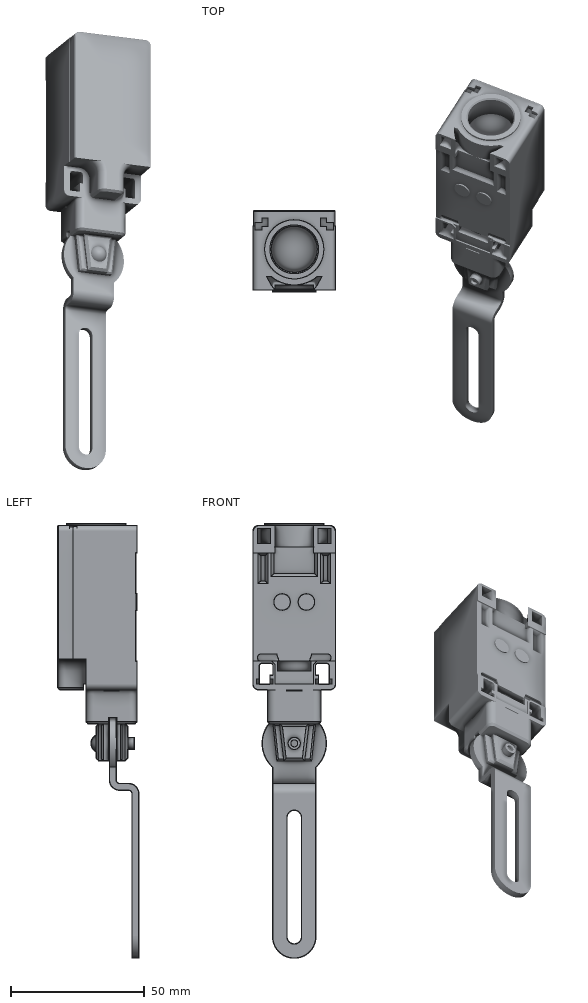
import cadquery as cq

TOTAL_HEIGHT = 163.3
CASE_WIDTH = 31.0
HALF_WIDTH = CASE_WIDTH / 2
REAR_Y = 14.5
PAD_Y = -15.4
PAD_RAISE = 0.5
FACE_Y = PAD_Y + PAD_RAISE
COLLAR_RAISE = 0.8
CASE_TOP = TOTAL_HEIGHT - COLLAR_RAISE
CASE_BOTTOM = 100.8
EDGE_RADIUS = 2.1

STEP_Y = 4.0
STEP_Z = 112.4
FOOT_WIDTH = 10.5
FOOT_FLARE_RADIUS = 4.2
FOOT_GAP = 0.8
FOOT_CORNER_RADIUS = 2.8
FOOT_BOTTOM_CHAMFER = 0.8

COVER_FRONT_Y = 8.8
COVER_INSET = 0.2
COVER_EDGE_CHAMFER = 0.3

COLLAR_RADIUS = 11.1
BORE_RADIUS = 8.7
BORE_CHAMFER = 0.5
BORE_DEPTH = 9.0
BOSS_RADIUS = 13.4

PAD_INNER_X = 7.2
UPPER_PAD_BOTTOM = 152.2
LOWER_PAD_TOP = 111.5
ENTRY_LEDGE_Z = 154.3
ENTRY_BOTTOM_Z = 143.4
ENTRY_HALF_WIDTH = 8.7
ENTRY_WALL_SLOPE = 1.0
ENTRY_CORNER_X = 10.5
ENTRY_CORNER_Y = -10.1
LATCH_HALF_WIDTH = 6.2
LATCH_LEDGE_Z = 107.8
LATCH_FLOOR_RADIUS = 8.2
LATCH_FLOOR_Y = -12.4
LATCH_REAR_Y = -9.0
PAD_CORNER_CUT = 1.3
GROOVE_X = 11.8
GROOVE_WIDTH = 3.8
GROOVE_BOTTOM_Z = 140.6
GROOVE_DEPTH = 1.6
GROOVE_TAPER = 33.0
POCKET_TOP_Z = 114.1
POCKET_OUTER_X = 13.7
POCKET_INNER_X = 6.5
POCKET_END_X = 5.7
POCKET_DEPTH = 1.0
BUTTON_X = 4.5
BUTTON_Z = 133.7
BUTTON_RADIUS = 3.1

UPPER_WINDOW_OUTER_X = 13.7
UPPER_WINDOW_INNER_X = 9.0
UPPER_WINDOW_END_X = 12.5
UPPER_WINDOW_TOP = 161.3
UPPER_WINDOW_BOTTOM = 155.8
UPPER_WINDOW_DEPTH = 7.2
LOWER_WINDOW_OUTER_X = 13.0
LOWER_WINDOW_INNER_X = 8.0
LOWER_WINDOW_STEP_X = 9.1
LOWER_WINDOW_TOP = 110.7
LOWER_WINDOW_STEP_Z = 106.3
LOWER_WINDOW_BOTTOM = 102.9
LOWER_WINDOW_CORNER = 1.0
SHELF_OUTER_X = 14.2
SHELF_TOP = 104.8
SHELF_DEPTH = 3.3

NOTCH_DEPTH = 1.8
NOTCH_FRONT_Y = 7.2
NOTCH_INNER_FRONT_Y = 8.5
NOTCH_STEP_Y = 10.1
NOTCH_REAR_Y = 11.8
NOTCH_STEP_X = 12.1
NOTCH_INNER_X = 9.8
NOTCH_OUTER_X = 14.7

NECK_WIDTH = 20.1
NECK_DEPTH = STEP_Y - PAD_Y
NECK_Y = (STEP_Y + PAD_Y) / 2
NECK_BOTTOM = 88.0
NECK_CORNER_RADIUS = 2.8
NECK_CHAMFER = 0.8
MARK_LENGTH = 5.7
MARK_HEIGHT = 0.5
MARK_DEPTH = 0.3

LEVER_THICKNESS = 2.6
LEVER_Y = -6.2
PIVOT_Z = 80.7
DISC_RADIUS = 12.1
ARM_WIDTH = 16.3
ARM_FRONT_Y = -16.0
BEND_RADIUS = 1.3
BEND_OUTER = BEND_RADIUS + LEVER_THICKNESS
BEND_START_Z = 67.0
LEVER_SLOT_WIDTH = 5.4
LEVER_SLOT_TOP = 55.5
LEVER_SLOT_BOTTOM = 5.4
PIN_RADIUS = 2.3

CLEVIS_DEPTH = 12.0
CLEVIS_Y = -5.9
CLEVIS_BOTTOM = 74.1
CLEVIS_TOP_HALF = 8.0
CLEVIS_BOTTOM_HALF = 6.5
CHEEK_CHAMFER = 0.7
PANEL_CHAMFER = 1.0
CHEEK_RECESS = 2.1
PANEL_TOP_HALF = 5.5
PANEL_BOTTOM_HALF = 4.0
CLEVIS_SLOT_WIDTH = 3.1
DISC_CLEARANCE = 0.5
CLEVIS_SLOT_TOP = DISC_RADIUS + PIVOT_Z + DISC_CLEARANCE
NECK_SLOT_TOP = 90.3
PIN_END_LENGTH = 2.5
SOCKET_RADIUS = 1.3
SOCKET_DEPTH = 1.0
RIVET_RADIUS = 3.1
RIVET_HEIGHT = 2.0


def block(x0, x1, y0, y1, z0, z1):
    """Box between two opposite corners."""
    return (
        cq.Workplane("XY")
        .box(x1 - x0, y1 - y0, z1 - z0, centered=False)
        .translate((x0, y0, z0))
    )


def rod(radius, x, z, y_front, y_rear):
    """Cylinder along Y."""
    return cq.Workplane("XZ", origin=(x, y_rear, z)).circle(radius).extrude(y_rear - y_front)


def front_prism(points, y_front, y_rear):
    """Prism along Y from an outline of (x, z) points."""
    return cq.Workplane("XZ", origin=(0, y_rear, 0)).polyline(points).close().extrude(y_rear - y_front)


def both_sides(solid):
    """The solid together with its mirror image in the plane X = 0."""
    return solid.union(solid.mirror("YZ"))


def case_shell():
    case = block(-HALF_WIDTH, HALF_WIDTH, PAD_Y, COVER_FRONT_Y, CASE_BOTTOM, CASE_TOP)
    case = case.edges("|Y").fillet(EDGE_RADIUS)
    cover_side = HALF_WIDTH - COVER_INSET
    cover = block(-cover_side, cover_side, COVER_FRONT_Y, REAR_Y, CASE_BOTTOM, CASE_TOP)
    cover = cover.edges("|Y").fillet(EDGE_RADIUS)
    cover = cover.faces(">Y").edges().chamfer(COVER_EDGE_CHAMFER)
    case = case.union(cover)
    collar = cq.Workplane("XY", origin=(0, 0, CASE_TOP)).circle(COLLAR_RADIUS).extrude(COLLAR_RAISE)
    return case.union(collar)


def pad_clearance():
    """Thin layer removed from the front so that only the corner pads stand out."""
    bottom = CASE_BOTTOM + EDGE_RADIUS
    corner_x = PAD_INNER_X + PAD_CORNER_CUT
    right_half = front_prism(
        [
            (0, bottom),
            (PAD_INNER_X, bottom),
            (PAD_INNER_X, LOWER_PAD_TOP - PAD_CORNER_CUT),
            (corner_x, LOWER_PAD_TOP),
            (HALF_WIDTH, LOWER_PAD_TOP),
            (HALF_WIDTH, UPPER_PAD_BOTTOM),
            (PAD_INNER_X, UPPER_PAD_BOTTOM),
            (PAD_INNER_X, CASE_TOP),
            (0, CASE_TOP),
        ],
        PAD_Y,
        FACE_Y,
    )
    return both_sides(right_half)


def rear_step():
    """Space below the case and around its narrow foot."""
    side = FOOT_WIDTH / 2
    flare_side = side + FOOT_FLARE_RADIUS
    flare_z = STEP_Z - FOOT_FLARE_RADIUS
    foot = (
        cq.Workplane("XZ", origin=(0, REAR_Y, 0))
        .moveTo(-side, CASE_BOTTOM)
        .lineTo(side, CASE_BOTTOM)
        .lineTo(side, flare_z)
        .radiusArc((flare_side, STEP_Z), FOOT_FLARE_RADIUS)
        .lineTo(-flare_side, STEP_Z)
        .radiusArc((-side, flare_z), FOOT_FLARE_RADIUS)
        .close()
        .extrude(REAR_Y - STEP_Y)
    )
    margin = FOOT_GAP / 2
    rear_corners = cq.selectors.BoxSelector(
        (-flare_side, REAR_Y - margin, CASE_BOTTOM + margin),
        (flare_side, REAR_Y + margin, STEP_Z - margin),
    )
    foot = foot.edges(rear_corners).fillet(FOOT_CORNER_RADIUS)
    foot = foot.faces("<Z").edges().chamfer(FOOT_BOTTOM_CHAMFER)
    foot = foot.cut(block(-side, side, STEP_Y, STEP_Y + FOOT_GAP, CASE_BOTTOM, CASE_BOTTOM + EDGE_RADIUS))
    return block(-HALF_WIDTH, HALF_WIDTH, STEP_Y, REAR_Y, CASE_BOTTOM, STEP_Z).cut(foot)


def bore():
    hole = (
        cq.Workplane("XY", origin=(0, 0, TOTAL_HEIGHT - BORE_DEPTH))
        .circle(BORE_RADIUS)
        .extrude(BORE_DEPTH)
    )
    mouth = (
        cq.Workplane("XY", origin=(0, 0, TOTAL_HEIGHT))
        .circle(BORE_RADIUS + BORE_CHAMFER)
        .workplane(offset=-BORE_CHAMFER)
        .circle(BORE_RADIUS)
        .loft()
    )
    return hole.union(mouth)


def entry_recess():
    """Relief in front of the bore: a space round the boss above a flat tray with sloping walls."""
    height = CASE_TOP - ENTRY_LEDGE_Z
    upper = (
        cq.Workplane("XY", origin=(0, 0, ENTRY_LEDGE_Z))
        .polyline([
            (-PAD_INNER_X, PAD_Y),
            (PAD_INNER_X, PAD_Y),
            (ENTRY_HALF_WIDTH, -BOSS_RADIUS),
            (ENTRY_CORNER_X, ENTRY_CORNER_Y),
            (-ENTRY_CORNER_X, ENTRY_CORNER_Y),
            (-ENTRY_HALF_WIDTH, -BOSS_RADIUS),
        ])
        .close()
        .extrude(height)
    )
    boss = cq.Workplane("XY", origin=(0, 0, ENTRY_LEDGE_Z)).circle(BOSS_RADIUS).extrude(height)
    upper = upper.cut(boss)
    inner = ENTRY_HALF_WIDTH - ENTRY_WALL_SLOPE
    tray = (
        cq.Workplane("XZ", origin=(0, FACE_Y, 0))
        .polyline([
            (-ENTRY_HALF_WIDTH, ENTRY_BOTTOM_Z),
            (ENTRY_HALF_WIDTH, ENTRY_BOTTOM_Z),
            (ENTRY_HALF_WIDTH, UPPER_PAD_BOTTOM),
            (-ENTRY_HALF_WIDTH, UPPER_PAD_BOTTOM),
        ])
        .close()
        .workplane(offset=FACE_Y + BOSS_RADIUS)
        .polyline([
            (-inner, ENTRY_BOTTOM_Z + ENTRY_WALL_SLOPE),
            (inner, ENTRY_BOTTOM_Z + ENTRY_WALL_SLOPE),
            (inner, UPPER_PAD_BOTTOM),
            (-inner, UPPER_PAD_BOTTOM),
        ])
        .close()
        .loft()
    )
    bridge = block(-PAD_INNER_X, PAD_INNER_X, PAD_Y, -BOSS_RADIUS, UPPER_PAD_BOTTOM, ENTRY_LEDGE_Z)
    return upper.union(tray).union(bridge)


def latch_recess():
    """Recess above the lower ledge with a convex floor."""
    space = block(
        -LATCH_HALF_WIDTH, LATCH_HALF_WIDTH, PAD_Y, LATCH_REAR_Y, LATCH_LEDGE_Z, LOWER_PAD_TOP
    )
    floor = (
        cq.Workplane("XY", origin=(0, LATCH_FLOOR_Y + LATCH_FLOOR_RADIUS, LATCH_LEDGE_Z))
        .circle(LATCH_FLOOR_RADIUS)
        .extrude(LOWER_PAD_TOP - LATCH_LEDGE_Z)
    )
    return space.cut(floor)


def front_grooves():
    """Tapered vertical grooves under the upper pads and shallow pockets over the lower pads."""
    height = UPPER_PAD_BOTTOM - GROOVE_BOTTOM_Z
    middle_z = (UPPER_PAD_BOTTOM + GROOVE_BOTTOM_Z) / 2
    groove = (
        cq.Workplane("XZ", origin=(GROOVE_X, FACE_Y, middle_z))
        .rect(GROOVE_WIDTH, height)
        .extrude(-GROOVE_DEPTH, taper=GROOVE_TAPER)
    )
    pocket = front_prism(
        [
            (POCKET_OUTER_X, LOWER_PAD_TOP),
            (POCKET_OUTER_X, POCKET_TOP_Z),
            (POCKET_INNER_X, POCKET_TOP_Z),
            (POCKET_END_X, LOWER_PAD_TOP),
        ],
        FACE_Y,
        FACE_Y + POCKET_DEPTH,
    )
    pocket = pocket.edges("|Y and >X").fillet(LOWER_WINDOW_CORNER)
    return both_sides(groove.union(pocket))


def upper_windows():
    y_end = PAD_Y + UPPER_WINDOW_DEPTH
    window = (
        cq.Workplane("XY", origin=(0, 0, UPPER_WINDOW_BOTTOM))
        .polyline([
            (UPPER_WINDOW_OUTER_X, PAD_Y),
            (UPPER_WINDOW_INNER_X, PAD_Y),
            (UPPER_WINDOW_END_X, y_end),
            (UPPER_WINDOW_OUTER_X, y_end),
        ])
        .close()
        .extrude(UPPER_WINDOW_TOP - UPPER_WINDOW_BOTTOM)
    )
    return both_sides(window)


def lower_windows():
    window = front_prism(
        [
            (LOWER_WINDOW_OUTER_X, LOWER_WINDOW_BOTTOM),
            (LOWER_WINDOW_OUTER_X, LOWER_WINDOW_TOP),
            (LOWER_WINDOW_INNER_X, LOWER_WINDOW_TOP),
            (LOWER_WINDOW_INNER_X, LOWER_WINDOW_STEP_Z),
            (LOWER_WINDOW_STEP_X, LOWER_WINDOW_STEP_Z),
            (LOWER_WINDOW_STEP_X, LOWER_WINDOW_BOTTOM),
        ],
        PAD_Y,
        REAR_Y,
    )
    window = window.edges("|Y and >Z").fillet(LOWER_WINDOW_CORNER)
    shelf = block(
        LOWER_WINDOW_INNER_X, SHELF_OUTER_X, PAD_Y, PAD_Y + SHELF_DEPTH, LOWER_WINDOW_BOTTOM, SHELF_TOP
    )
    return both_sides(window.union(shelf))


def snap_notches():
    z0 = CASE_TOP - NOTCH_DEPTH
    outer = block(NOTCH_STEP_X, NOTCH_OUTER_X, NOTCH_FRONT_Y, NOTCH_STEP_Y, z0, CASE_TOP)
    inner = block(NOTCH_INNER_X, NOTCH_STEP_X, NOTCH_INNER_FRONT_Y, NOTCH_REAR_Y, z0, CASE_TOP)
    return both_sides(outer.union(inner))


def buttons():
    button = rod(BUTTON_RADIUS, BUTTON_X, BUTTON_Z, PAD_Y, FACE_Y)
    return both_sides(button)


def neck():
    body = (
        cq.Workplane("XY", origin=(0, NECK_Y, NECK_BOTTOM))
        .rect(NECK_WIDTH, NECK_DEPTH)
        .extrude(CASE_BOTTOM - NECK_BOTTOM)
        .edges("|Z")
        .fillet(NECK_CORNER_RADIUS)
        .faces("<Z")
        .edges()
        .chamfer(NECK_CHAMFER)
    )
    z = CASE_BOTTOM - MARK_HEIGHT
    half = MARK_LENGTH / 2
    body = body.cut(block(-half, half, PAD_Y, PAD_Y + MARK_DEPTH, z, CASE_BOTTOM))
    side = NECK_WIDTH / 2
    side_mark = block(side - MARK_DEPTH, side, NECK_Y - half, NECK_Y + half, z, CASE_BOTTOM)
    return body.cut(both_sides(side_mark))


def trapezoid(top_half, bottom_half, depth, chamfer):
    """Downward-narrowing block with chamfered front and rear faces."""
    points = [
        (-top_half, NECK_BOTTOM),
        (top_half, NECK_BOTTOM),
        (bottom_half, CLEVIS_BOTTOM),
        (-bottom_half, CLEVIS_BOTTOM),
    ]
    plate = front_prism(points, CLEVIS_Y - depth / 2, CLEVIS_Y + depth / 2)
    return plate.faces("<Y or >Y").edges().chamfer(chamfer)


def clevis():
    cheek_depth = CLEVIS_DEPTH - 2 * CHEEK_RECESS
    cheeks = trapezoid(CLEVIS_TOP_HALF, CLEVIS_BOTTOM_HALF, cheek_depth, CHEEK_CHAMFER)
    panel = trapezoid(PANEL_TOP_HALF, PANEL_BOTTOM_HALF, CLEVIS_DEPTH, PANEL_CHAMFER)
    return cheeks.union(panel)


def lever_slot():
    """Slot for the lever: open at the bottom, with a round top inside the neck."""
    y_front = LEVER_Y - CLEVIS_SLOT_WIDTH / 2
    y_rear = LEVER_Y + CLEVIS_SLOT_WIDTH / 2
    side = NECK_WIDTH / 2
    straight = block(-side, side, y_front, y_rear, CLEVIS_BOTTOM, NECK_SLOT_TOP)
    return straight.union(rod(CLEVIS_SLOT_TOP - PIVOT_Z, 0, PIVOT_Z, y_front, y_rear))


def pin():
    front = CLEVIS_Y - CLEVIS_DEPTH / 2 - PIN_END_LENGTH
    rear = CLEVIS_Y + CLEVIS_DEPTH / 2
    shank = rod(PIN_RADIUS, 0, PIVOT_Z, front, rear)
    socket = rod(SOCKET_RADIUS, 0, PIVOT_Z, front, front + SOCKET_DEPTH)
    dome_radius = (RIVET_RADIUS ** 2 + RIVET_HEIGHT ** 2) / (2 * RIVET_HEIGHT)
    dome = (
        cq.Workplane("XY")
        .sphere(dome_radius)
        .translate((0, rear + RIVET_HEIGHT - dome_radius, PIVOT_Z))
        .intersect(rod(RIVET_RADIUS, 0, PIVOT_Z, rear, rear + RIVET_HEIGHT))
    )
    return shank.cut(socket).union(dome)


def make_housing():
    body = case_shell().cut(rear_step())
    for cutter in (
        pad_clearance(), bore(), entry_recess(), latch_recess(), front_grooves(),
        upper_windows(), lower_windows(), snap_notches(),
    ):
        body = body.cut(cutter)
    body = body.union(buttons())
    head = neck().union(clevis()).cut(lever_slot())
    return body.union(head).union(pin())


def lever_strip():
    """Joggled strip, as wide as the pivot disc."""
    upper_rear = LEVER_Y + LEVER_THICKNESS / 2
    upper_front = LEVER_Y - LEVER_THICKNESS / 2
    lower_rear = ARM_FRONT_Y + LEVER_THICKNESS
    web_bottom = BEND_START_Z - BEND_OUTER
    web_top = BEND_START_Z - BEND_RADIUS
    arm_start = web_bottom - BEND_RADIUS
    top = PIVOT_Z + DISC_RADIUS
    return (
        cq.Workplane("YZ", origin=(-DISC_RADIUS, 0, 0))
        .moveTo(upper_rear, top)
        .lineTo(upper_rear, BEND_START_Z)
        .radiusArc((upper_rear - BEND_OUTER, web_bottom), BEND_OUTER)
        .lineTo(lower_rear + BEND_RADIUS, web_bottom)
        .radiusArc((lower_rear, arm_start), -BEND_RADIUS)
        .lineTo(lower_rear, 0)
        .lineTo(ARM_FRONT_Y, 0)
        .lineTo(ARM_FRONT_Y, arm_start)
        .radiusArc((ARM_FRONT_Y + BEND_OUTER, web_top), BEND_OUTER)
        .lineTo(upper_front - BEND_RADIUS, web_top)
        .radiusArc((upper_front, BEND_START_Z), -BEND_RADIUS)
        .lineTo(upper_front, top)
        .close()
        .extrude(2 * DISC_RADIUS)
    )


def make_lever():
    y_rear = LEVER_Y + LEVER_THICKNESS / 2
    tip_radius = ARM_WIDTH / 2
    arm = block(-tip_radius, tip_radius, ARM_FRONT_Y, y_rear, tip_radius, PIVOT_Z)
    outline = (
        arm.union(rod(tip_radius, 0, tip_radius, ARM_FRONT_Y, y_rear))
        .union(rod(DISC_RADIUS, 0, PIVOT_Z, ARM_FRONT_Y, y_rear))
    )
    slot_length = LEVER_SLOT_TOP - LEVER_SLOT_BOTTOM
    slot = (
        cq.Workplane("XZ", origin=(0, y_rear, (LEVER_SLOT_TOP + LEVER_SLOT_BOTTOM) / 2))
        .slot2D(slot_length, LEVER_SLOT_WIDTH, 90)
        .extrude(y_rear - ARM_FRONT_Y)
    )
    pin_hole = rod(PIN_RADIUS, 0, PIVOT_Z, ARM_FRONT_Y, y_rear)
    return lever_strip().intersect(outline).cut(slot).cut(pin_hole)


housing = make_housing()
lever = make_lever()
result = cq.Compound.makeCompound([housing.val(), lever.val()])